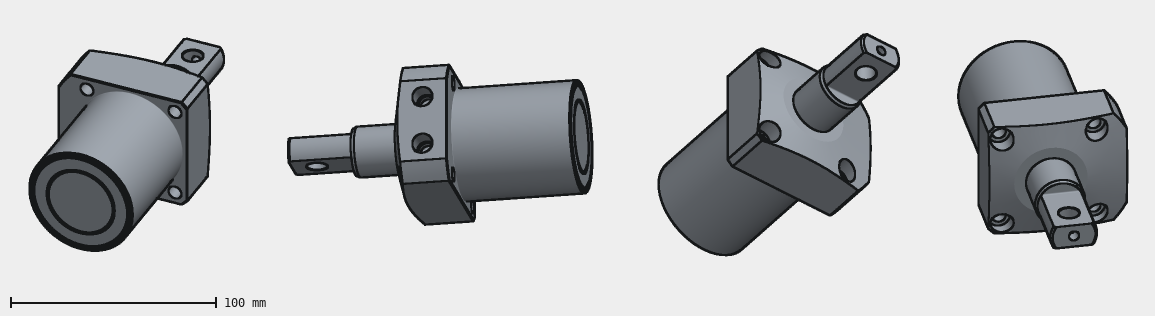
import cadquery as cq
import math

overall_length = 143.5
flange_front = 58.8
flange_crown = 89.0
shoulder = 112.2
pin_hole_y = 131.2
port_y = 71.0

flange_half_height = 30.0
flange_right = 30.0
flange_left = -39.0
flange_corner_radius = 44.2
flange_corner_chamfer = 3.0
flange_edge_chamfer = 0.5
crown_radius = 18.2
crown_angle = 15.0
crown_clearance = 1.5
barrel_radius = 27.7
barrel_chamfer = 0.5
barrel_root_fillet = 0.3
mount_hole_diameter = 6.9
counterbore_diameter = 11.2
counterbore_floor = 77.5
mount_hole_offset = 23.5
port_offset = 12.0
port_diameter = 9.9
port_depth = 11.5
port_inner_diameter = 8.3
port_inner_depth = 15.8

cap_radius = 25.5
cap_length = 10.0
cap_joint_chamfer = 0.7

piston_radius = 17.7
piston_joint_chamfer = 0.6
piston_length = 28.7
rod_radius = 12.5
shoulder_chamfer_length = 1.9
tongue_thickness = 12.0
tongue_radius = 11.6
tongue_fillet = 0.7
tip_chamfer = 1.0
pin_hole_diameter = 10.0
pin_hole_chamfer = 0.3
screw_hole_diameter = 5.0


def rod_axis_cylinder(radius, start, end):
    """Cylinder about the Y axis between two Y positions."""
    return cq.Workplane("XZ", origin=(0, start, 0)).circle(radius).extrude(start - end)


def turned(points):
    """Solid of revolution about the Y axis from (radius, y) points."""
    return cq.Workplane("XY").polyline(points).close().revolve(360, (0, 0, 0), (0, 1, 0))


def rear_countersink(radius, chamfer):
    """Conical cutter that chamfers the rear rim of a bore."""
    return turned([(0, 0), (radius + chamfer, 0), (radius, chamfer), (0, chamfer)])


def make_flange():
    half = flange_half_height
    arc_top_x = -math.sqrt(flange_corner_radius**2 - half**2)
    arc_left_z = math.sqrt(flange_corner_radius**2 - flange_left**2)
    middle_angle = (math.atan2(half, arc_top_x) + math.atan2(arc_left_z, flange_left)) / 2
    arc_middle_x = flange_corner_radius * math.cos(middle_angle)
    arc_middle_z = flange_corner_radius * math.sin(middle_angle)
    chamfer_x = flange_right - flange_corner_chamfer
    chamfer_z = half - flange_corner_chamfer
    flange = (
        cq.Workplane("XZ", origin=(0, flange_front, 0))
        .moveTo(arc_top_x, half)
        .lineTo(chamfer_x, half)
        .lineTo(flange_right, chamfer_z)
        .lineTo(flange_right, -chamfer_z)
        .lineTo(chamfer_x, -half)
        .lineTo(arc_top_x, -half)
        .threePointArc((arc_middle_x, -arc_middle_z), (flange_left, -arc_left_z))
        .lineTo(flange_left, arc_left_z)
        .threePointArc((arc_middle_x, arc_middle_z), (arc_top_x, half))
        .close()
        .extrude(flange_front - flange_crown)
        .faces("<Y")
        .chamfer(flange_edge_chamfer)
    )
    return flange.intersect(crown_envelope())


def crown_envelope():
    """Cone that slopes the flange away from the flat face around the rod."""
    rim_radius = flange_corner_radius + crown_clearance
    rim_y = flange_crown - (rim_radius - crown_radius) * math.tan(math.radians(crown_angle))
    return turned([
        (0, 0),
        (rim_radius, 0),
        (rim_radius, rim_y),
        (crown_radius, flange_crown),
        (0, flange_crown),
    ])


def make_barrel_root():
    """Collar that fillets the barrel into the flange face."""
    root_start = flange_front - barrel_root_fillet
    root_radius = barrel_radius + barrel_root_fillet
    profile = (
        cq.Workplane("XY")
        .moveTo(cap_radius, root_start)
        .lineTo(barrel_radius, root_start)
        .radiusArc((root_radius, flange_front), barrel_root_fillet)
        .lineTo(cap_radius, flange_front)
        .close()
    )
    return profile.revolve(360, (0, 0, 0), (0, 1, 0))


def four_bolt_cutters(diameter, start):
    """Cylinders on the bolt pattern, from Y = start out through the crown."""
    spacing = 2 * mount_hole_offset
    return (
        cq.Workplane("XZ", origin=(0, start, 0))
        .rect(spacing, spacing, forConstruction=True)
        .vertices()
        .circle(diameter / 2)
        .extrude(start - flange_crown)
    )


def port(z):
    """Blind stepped port in the left face."""
    face = cq.Workplane("YZ", origin=(flange_left, port_y, z))
    mouth = face.circle(port_diameter / 2).extrude(port_depth)
    return mouth.union(face.circle(port_inner_diameter / 2).extrude(port_inner_depth))


def make_housing():
    barrel = rod_axis_cylinder(barrel_radius, 0, flange_front).faces("<Y").chamfer(barrel_chamfer)
    housing = make_flange().union(barrel).union(make_barrel_root())
    housing = housing.cut(four_bolt_cutters(mount_hole_diameter, flange_front))
    housing = housing.cut(four_bolt_cutters(counterbore_diameter, counterbore_floor))
    for z in (-port_offset, port_offset):
        housing = housing.cut(port(z))
    housing = housing.cut(rod_axis_cylinder(cap_radius, 0, cap_length))
    housing = housing.cut(rear_countersink(cap_radius, cap_joint_chamfer))
    housing = housing.cut(rod_axis_cylinder(piston_radius, 0, piston_length))
    return housing.cut(rod_axis_cylinder(rod_radius, 0, flange_crown))


def make_end_cap():
    cap = rod_axis_cylinder(cap_radius, 0, cap_length).faces("<Y").chamfer(cap_joint_chamfer)
    cap = cap.cut(rod_axis_cylinder(piston_radius, 0, cap_length))
    return cap.cut(rear_countersink(piston_radius, piston_joint_chamfer))


def make_tongue():
    """Flat-sided tongue, filleted where its flats meet the shoulder."""
    tongue = rod_axis_cylinder(tongue_radius, shoulder, overall_length).faces(">Y").chamfer(tip_chamfer)
    half_thickness = tongue_thickness / 2
    foot_half_thickness = half_thickness + tongue_fillet
    fillet_end = shoulder + tongue_fillet
    side_profile = (
        cq.Workplane("YZ")
        .moveTo(shoulder, -foot_half_thickness)
        .radiusArc((fillet_end, -half_thickness), tongue_fillet)
        .lineTo(overall_length, -half_thickness)
        .lineTo(overall_length, half_thickness)
        .lineTo(fillet_end, half_thickness)
        .radiusArc((shoulder, foot_half_thickness), tongue_fillet)
        .close()
        .extrude(tongue_radius, both=True)
    )
    return tongue.intersect(side_profile)


def pin_hole():
    """Cross hole through the tongue with both rims chamfered."""
    half_thickness = tongue_thickness / 2
    pin_radius = pin_hole_diameter / 2
    rim_radius = pin_radius + pin_hole_chamfer
    chamfer_start = half_thickness - pin_hole_chamfer
    return (
        cq.Workplane("XZ")
        .moveTo(0, -half_thickness)
        .lineTo(rim_radius, -half_thickness)
        .lineTo(pin_radius, -chamfer_start)
        .lineTo(pin_radius, chamfer_start)
        .lineTo(rim_radius, half_thickness)
        .lineTo(0, half_thickness)
        .close()
        .revolve(360, (0, 0, 0), (0, 1, 0))
        .translate((0, pin_hole_y, 0))
    )


def make_piston_rod():
    piston = rod_axis_cylinder(piston_radius, 0, piston_length).faces("<Y").chamfer(piston_joint_chamfer)
    shaft = (
        rod_axis_cylinder(rod_radius, piston_length, shoulder)
        .faces(">Y")
        .chamfer(shoulder_chamfer_length, rod_radius - tongue_radius)
    )
    screw_hole = rod_axis_cylinder(screw_hole_diameter / 2, pin_hole_y, overall_length)
    return piston.union(shaft).union(make_tongue()).cut(pin_hole()).cut(screw_hole)


housing = make_housing()
end_cap = make_end_cap()
piston_rod = make_piston_rod()

result = cq.Compound.makeCompound([housing.val(), end_cap.val(), piston_rod.val()])